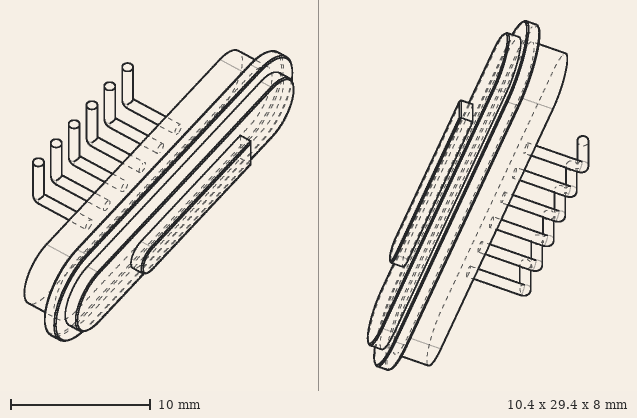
import cadquery as cq

body_length = 26.9
body_height = 5.5
flange_overhang = 1.25
back_depth = 2.6
flange_thickness = 1.0
front_depth = 1.0
edge_chamfer = 0.1

key_length = 13.5
key_height = 2.5
key_depth = 1.0

pin_count = 6
pin_pitch = 2.2
pin_diameter = 0.8
pin_reach = 4.8
pin_top = 3.85
bend_radius = 0.25

back_face_x = -back_depth
front_face_x = flange_thickness + front_depth
flange_length = body_length + 2 * flange_overhang
flange_height = body_height + 2 * flange_overhang
pin_radius = pin_diameter / 2
upright_x = back_face_x - pin_reach + pin_radius
bend_end_x = upright_x + bend_radius


def stadium(start_x, depth, length, height):
    """Plate with full-round ends, long in Y, extruded toward +X."""
    return cq.Workplane("YZ", origin=(start_x, 0, 0)).slot2D(length, height).extrude(depth)


def make_body():
    body = stadium(back_face_x, front_face_x - back_face_x, body_length, body_height)
    return body.faces(">X").edges().chamfer(edge_chamfer)


def make_flange():
    flange = stadium(0, flange_thickness, flange_length, flange_height)
    return flange.faces("<X or >X").edges().chamfer(edge_chamfer)


def make_key():
    """Raised key on the front face, square at +Y and full-round at -Y."""
    end_y = key_length / 2
    half_height = key_height / 2
    round_start_y = -end_y + half_height
    key = (
        cq.Workplane("YZ", origin=(front_face_x, 0, 0))
        .moveTo(round_start_y, half_height)
        .lineTo(end_y, half_height)
        .lineTo(end_y, -half_height)
        .lineTo(round_start_y, -half_height)
        .threePointArc((-end_y, 0), (round_start_y, half_height))
        .close()
        .extrude(key_depth)
    )
    return key.faces(">X").edges().chamfer(edge_chamfer)


def make_pin(y):
    """Right-angle pin: a leg along X, a tight bend and an upright leg along Z."""
    leg = (
        cq.Workplane("YZ", origin=(bend_end_x, y, 0))
        .circle(pin_radius)
        .extrude(back_face_x - bend_end_x)
    )
    upright = (
        cq.Workplane("XY", origin=(upright_x, y, bend_radius))
        .circle(pin_radius)
        .extrude(pin_top - bend_radius)
    )
    section_half_width = (pin_radius**2 - bend_radius**2) ** 0.5
    bend = (
        cq.Workplane("XY", origin=(upright_x, y, bend_radius))
        .moveTo(bend_radius, -section_half_width)
        .lineTo(bend_radius, section_half_width)
        .threePointArc((-pin_radius, 0), (bend_radius, -section_half_width))
        .close()
        .revolve(90, (bend_radius, 0, 0), (bend_radius, -1, 0))
    )
    return leg.union(upright).union(bend)


result = make_body().union(make_flange()).union(make_key())
for index in range(pin_count):
    pin_y = (index - (pin_count - 1) / 2) * pin_pitch
    result = result.union(make_pin(pin_y))